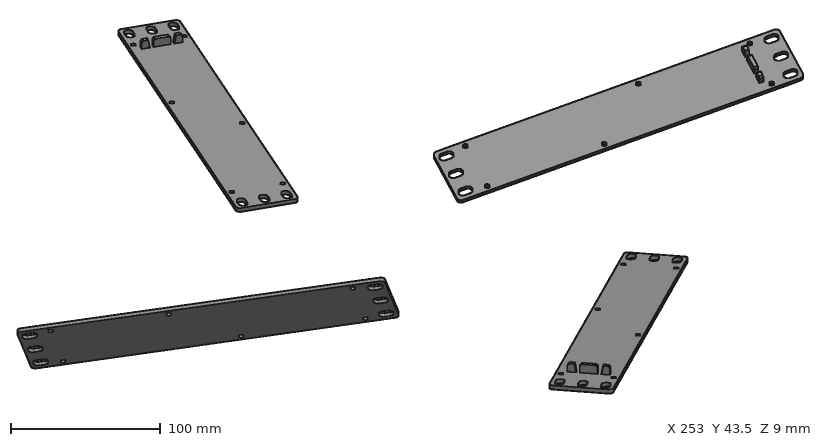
import cadquery as cq

plate_length = 253
plate_width = 43.5
plate_thickness = 3.0
corner_radius = 3.0

slot_length = 10.0
slot_width = 6.0
slot_x = 119.0
slot_pitch = 15.7

hole_diameter = 3.3
hole_y = 18.0
end_hole_x = 104.0
back_hole_x = 18.5
front_hole_x = -22.5

tab_x = -98.2
tab_thickness = 3.0
tab_top = 9.0
tab_chamfer_run = 1.3
tab_chamfer_drop = 1.3
tab_lean = 1.3
middle_tab_half_length = 6.0
outer_tab_inner_y = 8.5
outer_tab_outer_y = 14.5


def make_plate():
    """Flat panel with rounded vertical corners."""
    plate = cq.Workplane("XY").box(
        plate_length, plate_width, plate_thickness, centered=(True, True, False)
    )
    return plate.edges("|Z").fillet(corner_radius)


def make_tab(profile):
    """Upright tab across X from a closed (Y, Z) side profile."""
    return (
        cq.Workplane("YZ", origin=(tab_x - tab_thickness / 2, 0, 0))
        .polyline(profile)
        .close()
        .extrude(tab_thickness)
    )


def chamfered_end(end_y, side):
    """Profile points of a tab end facing side (+1 or -1) along Y, from the base to the top."""
    return [
        (side * end_y, plate_thickness),
        (side * end_y, tab_top - tab_chamfer_drop),
        (side * (end_y - tab_chamfer_run), tab_top),
    ]


def make_middle_tab():
    """Tab with both upper corners chamfered."""
    back_end = chamfered_end(middle_tab_half_length, 1)
    front_end = chamfered_end(middle_tab_half_length, -1)
    return make_tab(back_end + front_end[::-1])


def make_outer_tab(side):
    """Tab with a chamfered outer end and a leaning inner end."""
    inner_end = [
        (side * (outer_tab_inner_y + tab_lean), tab_top),
        (side * outer_tab_inner_y, plate_thickness),
    ]
    return make_tab(chamfered_end(outer_tab_outer_y, side) + inner_end)


slot_centers = [
    (x, row * slot_pitch)
    for x in (-slot_x, slot_x)
    for row in (-1, 0, 1)
]
hole_centers = [(x, y) for x in (-end_hole_x, end_hole_x) for y in (-hole_y, hole_y)]
hole_centers += [(back_hole_x, hole_y), (front_hole_x, -hole_y)]

slots = (
    cq.Workplane("XY")
    .pushPoints(slot_centers)
    .slot2D(slot_length, slot_width)
    .extrude(plate_thickness)
)
holes = (
    cq.Workplane("XY")
    .pushPoints(hole_centers)
    .circle(hole_diameter / 2)
    .extrude(plate_thickness)
)

result = make_plate().cut(slots).cut(holes)
result = result.union(make_middle_tab())
for side in (-1, 1):
    result = result.union(make_outer_tab(side))